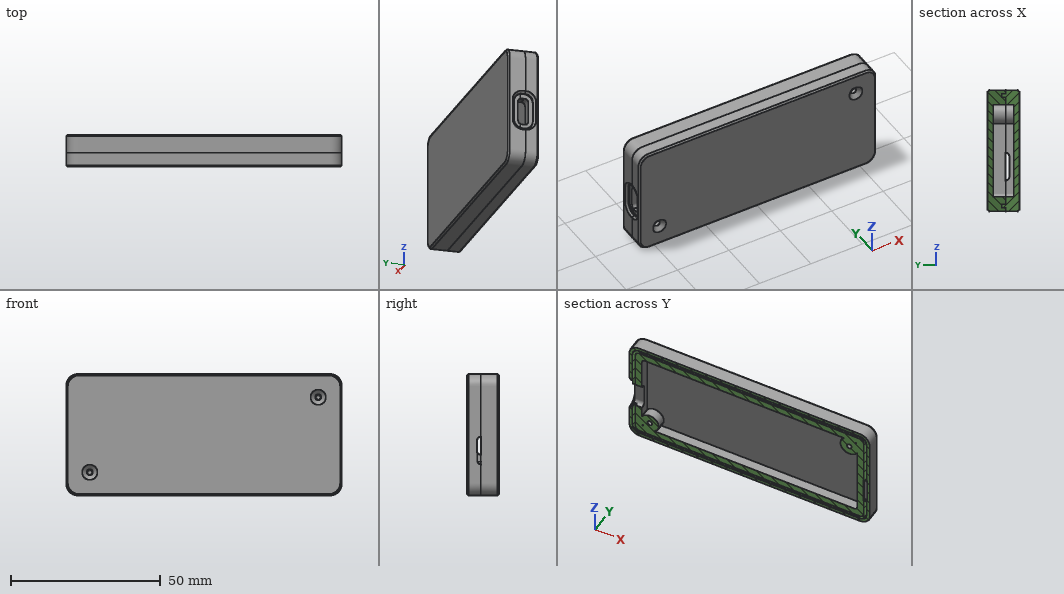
import cadquery as cq
import math

length = 92.2
height = 40.7
cover_depth = 4.7
base_depth = 6.1
corner_radius = 4.0
edge_chamfer = 0.6

wall = 5.0
floor_thickness = 2.0
cavity_radius = 1.0

tongue_inset = 1.2
tongue_thickness = 1.3
tongue_height = 1.4

port_width = 3.6
port_height = 9.3
port_radius = 1.35
port_y = 0.45
port_z = -2.0
far_port_y = 0.55
far_port_z = -5.3
recess_offset = 1.5
recess_chamfer = 0.8
recess_depth = 1.3

screw_x = 38.2
screw_z = 12.55
screw_points = [(-screw_x, -screw_z), (screw_x, screw_z)]
boss_diameter = 7.0
screw_radius = 1.0
head_radius = 2.55
head_sink = head_radius - screw_radius
pilot_radius = 0.8
pilot_depth = 4.0
pilot_tip_angle = 118.0
pilot_tip = pilot_radius / math.tan(math.radians(pilot_tip_angle / 2))


def prism(inset, y_start, y_end, radius):
    """Rounded rectangle, `inset` inside the case outline, from y_start to y_end."""
    return (
        cq.Workplane("XZ", origin=(0, y_start, 0))
        .rect(length - 2 * inset, height - 2 * inset)
        .extrude(y_start - y_end)
        .edges("|Y")
        .fillet(radius)
    )


def screw_bosses(y_start, y_end):
    """Round posts around both screws, from y_start to y_end."""
    return (
        cq.Workplane("XZ", origin=(0, y_start, 0))
        .pushPoints(screw_points)
        .circle(boss_diameter / 2)
        .extrude(y_start - y_end)
    )


def port_opening(x_start, depth, y, z, offset=0, taper=0):
    """Port-shaped block running toward +X from x_start, `offset` wider all round than the port."""
    return (
        cq.Workplane("YZ", origin=(x_start, y, z))
        .sketch()
        .rect(port_width + 2 * offset, port_height + 2 * offset)
        .vertices()
        .fillet(port_radius + offset)
        .finalize()
        .extrude(depth, taper=taper)
    )


def tongue_ring():
    """Closed ring that locates the cover in the base, standing on the split plane."""
    outer = prism(tongue_inset, 0, tongue_height, corner_radius - tongue_inset)
    inner_inset = tongue_inset + tongue_thickness
    inner = prism(inner_inset, 0, tongue_height, corner_radius - inner_inset)
    return outer.cut(inner)


def near_port():
    """Opening through the -X wall with its chamfered plug recess."""
    near_end = -length / 2
    mouth_offset = recess_offset + recess_chamfer
    mouth = port_opening(near_end, recess_chamfer, port_y, port_z, mouth_offset, taper=45)
    recess = port_opening(near_end, recess_depth, port_y, port_z, recess_offset)
    return port_opening(near_end, wall, port_y, port_z).union(recess).union(mouth)


def far_port():
    """Plain opening through the +X wall of the cover."""
    return port_opening(length / 2 - wall, wall, far_port_y, far_port_z)


def screw_holes():
    """Countersunk holes through the cover, going on as pilot holes with conical tips in the base."""
    profile = [
        (-cover_depth, 0),
        (-cover_depth, -head_radius),
        (head_sink - cover_depth, -screw_radius),
        (0, -screw_radius),
        (0, -pilot_radius),
        (pilot_depth, -pilot_radius),
        (pilot_depth + pilot_tip, 0),
    ]
    holes = cq.Workplane()
    for x, z in screw_points:
        hole = (
            cq.Workplane("YZ", origin=(x, 0, z))
            .polyline(profile)
            .close()
            .revolve(360, (0, 0), (1, 0))
        )
        holes = holes.add(hole)
    return holes.combine()


def make_cover():
    """Shallow -Y half with the tongue, both ports and the countersinks."""
    cover = prism(0, -cover_depth, 0, corner_radius).faces("<Y").chamfer(edge_chamfer)
    cavity = prism(wall, floor_thickness - cover_depth, 0, cavity_radius)
    cavity = cavity.cut(screw_bosses(-cover_depth, 0))
    cover = cover.cut(cavity).union(tongue_ring())
    return cover.cut(screw_holes()).cut(near_port()).cut(far_port())


def make_base():
    """Deeper +Y half with the groove, the near port and the pilot holes."""
    base = prism(0, 0, base_depth, corner_radius).faces(">Y").chamfer(edge_chamfer)
    cavity = prism(wall, 0, base_depth - floor_thickness, cavity_radius)
    cavity = cavity.cut(screw_bosses(0, base_depth))
    base = base.cut(cavity).cut(tongue_ring())
    return base.cut(screw_holes()).cut(near_port())


cover = make_cover()
base = make_base()
result = cq.Compound.makeCompound([cover.val(), base.val()])